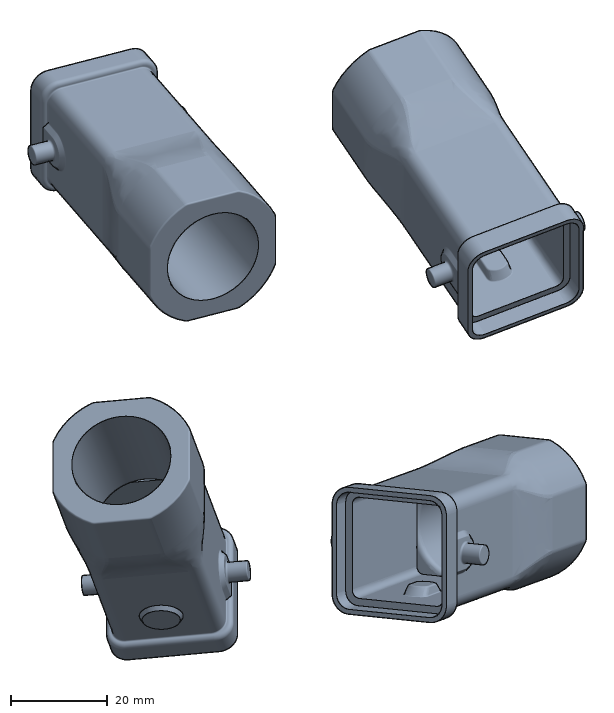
import cadquery as cq
import math

length = 60.0
collar_length = 5.45
neck_start = 32.0
head_start = 45.0

collar_width = 26.8
collar_corner = 3.9
collar_round = 1.0
body_width = 24.0
body_corner = 3.0
head_width = 29.0
head_radius = 15.65
head_blend = 2.0
head_end_round = 0.35
body_foot_round = 0.3

recess_width = 24.7
recess_corner = 3.0
recess_depth = 3.8
recess_draft = 2.0
cavity_width = 21.35
cavity_corner = 1.7
cavity_end = neck_start
cavity_draft = 0.4
bore_radius = 10.45
bore_round = 1.25

pin_x = 9.2
pin_radius = 2.1
pin_span = 35.0
pin_tip_round = 0.25
pin_foot_round = 0.4
pad_x = 9.7
pad_radius = 4.45
pad_height = 1.0
pad_start = 3.85
pad_slope = 1.0
pad_edge_round = 0.25
pad_foot_round = 0.35
pad_bed_depth = 0.6

boss_x = 14.65
boss_radius = 4.55
boss_drop = 0.95
boss_slope = 0.6
post_radius = 5.4
post_height = 2.05
post_end_taper = 36.0
post_side_taper = 9.0
post_foot_width = 5.95
post_side_round = 1.2
post_top_round = 0.4
post_foot_round = 0.3

neck_steps = 10


def flat_band(normal, level, x_min, x_max, half_width, half_height=0.0):
    """Selector of the edges inside a box centred at the level on the Y or Z axis named by normal."""
    margin = 0.09
    across = half_width + margin
    along = half_height + margin
    low = [x_min - margin, -across, level - along]
    high = [x_max + margin, across, level + along]
    if normal == "Y":
        low[1:] = low[:0:-1]
        high[1:] = high[:0:-1]
    return cq.selectors.BoxSelector(low, high, boundingbox=True)


def square_bar(width, corner, start, depth, taper=0.0):
    """Square bar with rounded long edges, running along +X from start."""
    sketch = cq.Sketch().rect(width, width).vertices().fillet(corner)
    return cq.Workplane("YZ", origin=(start, 0, 0)).placeSketch(sketch).extrude(depth, taper=taper)


def body_quarter():
    """Body corner as (y, z) points: the round split into two tiny end arcs and a main arc."""
    half = body_width / 2
    centre = half - body_corner
    tiny = math.radians(3)
    angles = [0, tiny / 2, tiny, math.pi / 4]
    return [(centre + body_corner * math.cos(a), centre + body_corner * math.sin(a)) for a in angles]


def head_quarter():
    """Head corner as (y, z) points: flat end, blend middle, blend end, middle of the big arc."""
    half = head_width / 2
    blend_y = half - head_blend
    blend_z = math.sqrt((head_radius - head_blend) ** 2 - blend_y**2)
    sweep = math.atan2(blend_z, blend_y)
    angles = [0, sweep / 2, sweep]
    points = [(blend_y + head_blend * math.cos(a), blend_z + head_blend * math.sin(a)) for a in angles]
    diagonal = head_radius * math.sqrt(0.5)
    return points + [(diagonal, diagonal)]


def section(x, share):
    """Closed outline at x, changed by share from the body section (0) to the head section (1)."""
    flat, blend, arc, middle = [
        (b[0] + share * (h[0] - b[0]), b[1] + share * (h[1] - b[1]))
        for b, h in zip(body_quarter(), head_quarter())
    ]
    quarter = [flat, blend, arc, middle, arc[::-1], blend[::-1], flat[::-1]]
    edges = []
    for turn in range(4):
        cos, sin = [(1, 0), (0, 1), (-1, 0), (0, -1)][turn]
        p = [cq.Vector(x, y * cos - z * sin, y * sin + z * cos) for y, z in quarter]
        edges += [cq.Edge.makeThreePointArc(p[i], p[i + 1], p[i + 2]) for i in (0, 2, 4)]
        next_flat = cq.Vector(x, -flat[1] * cos - flat[0] * sin, -flat[1] * sin + flat[0] * cos)
        edges.append(cq.Edge.makeLine(p[6], next_flat))
    return cq.Wire.assembleEdges(edges)


def collar():
    bar = square_bar(collar_width, collar_corner, 0, collar_length)
    return bar.faces(">X").edges().fillet(collar_round)


def neck():
    """S-shaped passage from the square body to the wider head."""
    wires = []
    for step in range(neck_steps + 1):
        t = step / neck_steps
        x = neck_start + t * (head_start - neck_start)
        wires.append(section(x, t * t * (3 - 2 * t)))
    return cq.Workplane(cq.Solid.makeLoft(wires))


def head():
    face = cq.Face.makeFromWires(section(head_start, 1))
    bar = cq.Workplane(cq.Solid.extrudeLinear(face, cq.Vector(length - head_start, 0, 0)))
    return bar.faces(">X").edges().fillet(head_end_round)


def shell():
    """Collar, body, neck and head, hollowed by the recess, the square cavity and the round bore."""
    body = square_bar(body_width, body_corner, collar_length, neck_start - collar_length)
    outer = collar().union(body)
    foot = flat_band("Z", 0, collar_length, collar_length, body_width / 2, body_width / 2)
    outer = outer.edges(foot).fillet(body_foot_round)
    outer = outer.union(neck()).union(head())
    recess = square_bar(recess_width, recess_corner, 0, recess_depth, recess_draft)
    cavity = square_bar(cavity_width, cavity_corner, recess_depth, cavity_end - recess_depth, cavity_draft)
    bore = (
        cq.Workplane("XY")
        .moveTo(cavity_end, 0)
        .lineTo(cavity_end, bore_radius + bore_round)
        .radiusArc((cavity_end + bore_round, bore_radius), -bore_round)
        .lineTo(length, bore_radius)
        .lineTo(length, 0)
        .close()
        .revolve(360, (0, 0, 0), (1, 0, 0))
    )
    return outer.cut(recess).cut(cavity).cut(bore)


def pin_and_pad():
    """Sloped pad on the -Y side wall with the locking pin standing on it."""
    wall_y = -body_width / 2
    taper = math.degrees(math.atan(pad_slope / pad_height))
    wall = cq.Workplane("XZ", origin=(pad_x, wall_y, 0))
    bed_size = 4 * pad_radius
    bed_width = 2.5 * pad_radius
    slot = wall.center(-pad_radius, 0).slot2D(bed_size, 2 * pad_radius).extrude(pad_height, taper=taper)
    slot = slot.faces("<Y").edges().fillet(pad_edge_round)
    bed = wall.center(-pad_radius, 0).rect(1.5 * bed_size, bed_width).extrude(-pad_bed_depth)
    foot = flat_band("Y", wall_y, pad_x - bed_size, pad_x + pad_radius, pad_radius)
    pad = slot.union(bed).edges(foot).fillet(pad_foot_round)
    pad = pad.intersect(cq.Workplane("XY").box(length, length, length).translate((pad_start + length / 2, 0, 0)))
    pin = wall.center(pin_x - pad_x, 0).circle(pin_radius).extrude(pin_span / 2 + wall_y)
    pin = pin.faces("<Y").edges().fillet(pin_tip_round)
    pin_foot = flat_band("Y", wall_y - pad_height, pin_x - pin_radius, pin_x + pin_radius, pin_radius)
    return pad.union(pin).edges(pin_foot).fillet(pin_foot_round)


def bottom_boss():
    """Round tapered boss under the bottom wall."""
    taper = math.degrees(math.atan(boss_slope / boss_drop))
    plane = cq.Workplane("XY", origin=(boss_x, 0, -body_width / 2))
    return plane.circle(boss_radius).extrude(-boss_drop, taper=taper)


def inner_post():
    """Cone on the cavity floor, cut to a narrow post by two slightly sloped flats."""
    plane = cq.Workplane("XY", origin=(boss_x, 0, -body_width / 2))
    floor_gap = (body_width - cavity_width) / 2
    height = floor_gap + post_height
    cone = plane.circle(post_radius).extrude(height, taper=post_end_taper)
    flats = plane.rect(3 * post_radius, post_foot_width).extrude(height, taper=post_side_taper)
    post = cone.intersect(flats).edges("%HYPERBOLA").fillet(post_side_round)
    return post.faces(">Z").edges().fillet(post_top_round)


side_fittings = pin_and_pad()
result = (
    shell()
    .union(side_fittings)
    .union(side_fittings.mirror("XZ"))
    .union(bottom_boss())
    .union(inner_post())
)
post_foot = flat_band(
    "Z", -cavity_width / 2, boss_x - post_radius, boss_x + post_radius, post_foot_width / 2, post_foot_round
)
result = result.edges(post_foot).fillet(post_foot_round)